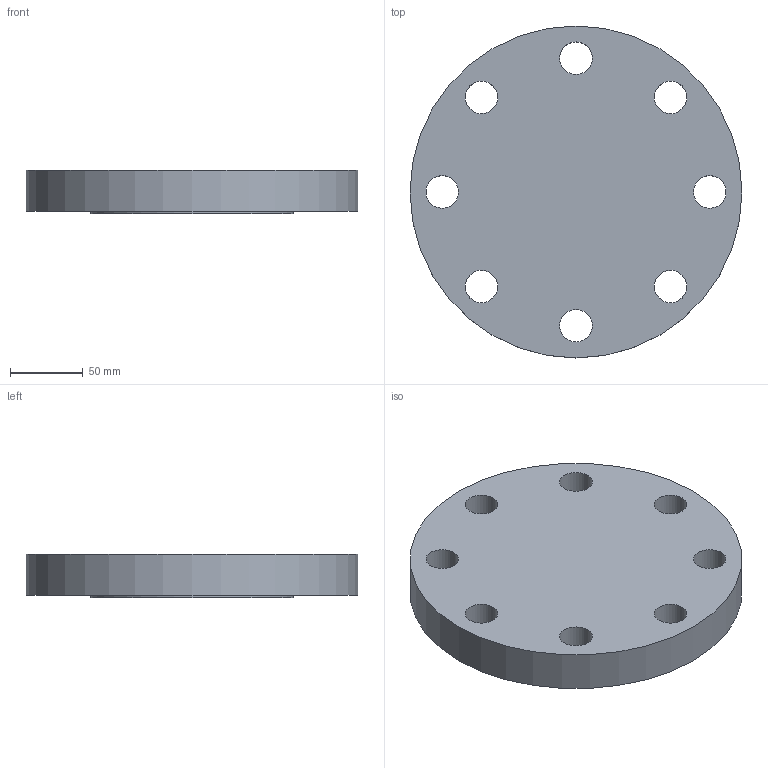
import cadquery as cq

flange_diameter = 228.6
total_thickness = 30.04
raised_face_diameter = 139.7
raised_face_height = 1.6
bolt_circle_diameter = 184.2
bolt_hole_diameter = 22.4
bolt_count = 8

plate_thickness = total_thickness - raised_face_height


def flange_plate():
    """Round plate standing on top of the raised face."""
    return (
        cq.Workplane("XY")
        .workplane(offset=raised_face_height)
        .circle(flange_diameter / 2)
        .extrude(plate_thickness)
    )


def raised_face():
    """Low sealing disc on the underside, starting at Z = 0."""
    return cq.Workplane("XY").circle(raised_face_diameter / 2).extrude(raised_face_height)


def bolt_holes():
    """Through-hole cutters evenly spaced on the bolt circle, the first on +X."""
    return (
        cq.Workplane("XY")
        .polarArray(bolt_circle_diameter / 2, 0, 360, bolt_count)
        .circle(bolt_hole_diameter / 2)
        .extrude(total_thickness)
    )


result = flange_plate().union(raised_face()).cut(bolt_holes())